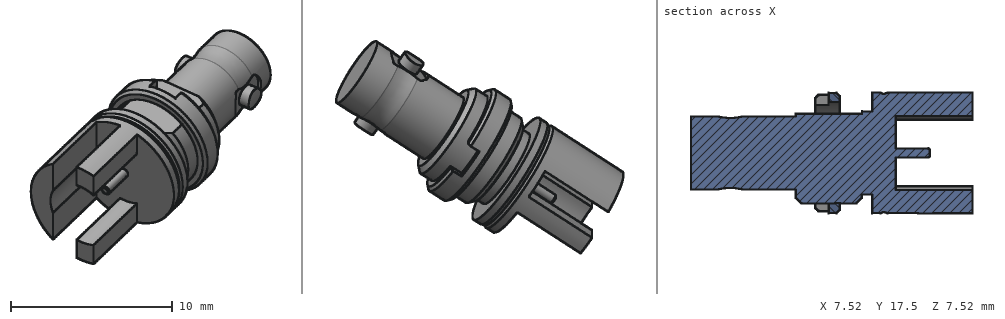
import cadquery as cq

LENGTH = 17.5

FLANGE_R = 7.52 / 2
FLANGE_BACK = 4.76
FLANGE_FRONT = 6.25
V_GROOVE_Y = 5.51
V_GROOVE_HALF_WIDTH = 0.21
V_GROOVE_DEPTH = 0.09
LEG_BORE_R = 4.55 / 2
LOWER_LEG_FACE_X = -2.08
UPPER_LEG_MIN_X = -0.3
UPPER_LEG_MAX_X = 0.98

CONTACT_R = 0.6 / 2
CONTACT_TIP_R = 0.44 / 2
CONTACT_LENGTH = 2.1

NECK_R = 5.2 / 2
THREAD_R = 6.28 / 2
THREAD_BACK = 6.88
THREAD_FRONT = 10.99
THREAD_CHAMFER = 0.35
THREAD_FLAT_Z = 2.45

BARREL_R = 4.55 / 2
STUD_Y = 15.05
STUD_R = 1.4 / 2
STUD_TIP_R = 5.56 / 2
STUD_SEAT_R = 2.8 / 2
STUD_SEAT_X = 2.05
WAIST_HALF_WIDTH = 0.74
WAIST_DEPTH = 0.09

NUT_R = 7.5 / 2
NUT_BACK = 8.25
NUT_FRONT = 9.78
NUT_CHAMFER = 0.21
NUT_SLOT_WIDTH = 1.96
NUT_SLOT_DEPTH = 0.84


def cylinder_y(radius, start, end):
    """Cylinder on the connector axis between two Y positions."""
    return cq.Workplane("XZ", origin=(0, start, 0)).circle(radius).extrude(start - end)


def box_between(low, high):
    """Axis-aligned box given by two opposite corners."""
    size = [b - a for a, b in zip(low, high)]
    return cq.Workplane("XY").box(*size, centered=False).translate(low)


def make_turned_core():
    """Everything from the flange to the mating end, turned about the axis."""
    return (
        cq.Workplane("XY")
        .moveTo(0, FLANGE_BACK)
        .lineTo(FLANGE_R, FLANGE_BACK)
        .lineTo(FLANGE_R, V_GROOVE_Y - V_GROOVE_HALF_WIDTH)
        .lineTo(FLANGE_R - V_GROOVE_DEPTH, V_GROOVE_Y)
        .lineTo(FLANGE_R, V_GROOVE_Y + V_GROOVE_HALF_WIDTH)
        .lineTo(FLANGE_R, FLANGE_FRONT)
        .lineTo(NECK_R, FLANGE_FRONT)
        .lineTo(NECK_R, THREAD_BACK)
        .lineTo(THREAD_R - THREAD_CHAMFER, THREAD_BACK)
        .lineTo(THREAD_R, THREAD_BACK + THREAD_CHAMFER)
        .lineTo(THREAD_R, THREAD_FRONT - THREAD_CHAMFER)
        .lineTo(THREAD_R - THREAD_CHAMFER, THREAD_FRONT)
        .lineTo(BARREL_R, THREAD_FRONT)
        .lineTo(BARREL_R, STUD_Y - WAIST_HALF_WIDTH)
        .threePointArc((BARREL_R - WAIST_DEPTH, STUD_Y), (BARREL_R, STUD_Y + WAIST_HALF_WIDTH))
        .lineTo(BARREL_R, LENGTH)
        .lineTo(0, LENGTH)
        .close()
        .revolve(360, (0, 0, 0), (0, 1, 0))
    )


def make_thread_flat_cutter():
    """Removes the top of the threaded section above its flat."""
    return box_between(
        (-THREAD_R, THREAD_BACK, THREAD_FLAT_Z), (THREAD_R, THREAD_FRONT, THREAD_R)
    )


def make_legs():
    """One wide lower leg and two narrow upper legs around a central bore."""
    tube = cylinder_y(FLANGE_R, 0, FLANGE_BACK).cut(cylinder_y(LEG_BORE_R, 0, FLANGE_BACK))
    lower = box_between((-FLANGE_R, 0, -FLANGE_R), (LOWER_LEG_FACE_X, FLANGE_BACK, FLANGE_R))
    upper = box_between((UPPER_LEG_MIN_X, 0, -FLANGE_R), (UPPER_LEG_MAX_X, FLANGE_BACK, FLANGE_R))
    return tube.intersect(lower.union(upper))


def make_contact():
    """Centre contact with a chamfered tip, standing out of the flange."""
    contact = cylinder_y(CONTACT_R, FLANGE_BACK - CONTACT_LENGTH, FLANGE_BACK)
    return contact.faces("<Y").chamfer(CONTACT_R - CONTACT_TIP_R)


def cylinder_x(radius, start, end):
    """Cylinder along X at the stud position."""
    return cq.Workplane("YZ", origin=(start, STUD_Y, 0)).circle(radius).extrude(end - start)


def make_stud_seats():
    """Round spot faces cut into both sides of the barrel."""
    right = cylinder_x(STUD_SEAT_R, STUD_SEAT_X, STUD_TIP_R)
    return right.union(right.mirror("YZ"))


def make_studs():
    """Bayonet studs whose ends follow a cylinder about the connector axis."""
    envelope = cylinder_y(STUD_TIP_R, STUD_Y - STUD_R, STUD_Y + STUD_R)
    return cylinder_x(STUD_R, -STUD_TIP_R, STUD_TIP_R).intersect(envelope)


def make_housing():
    """Connector housing with legs, contact and bayonet studs."""
    core = make_turned_core().cut(make_thread_flat_cutter()).cut(make_stud_seats())
    return core.union(make_studs()).union(make_legs()).union(make_contact())


def make_ring_nut():
    """Chamfered ring on the thread with two opposite spanner slots."""
    ring = cylinder_y(NUT_R, NUT_BACK, NUT_FRONT).faces("<Y or >Y").chamfer(NUT_CHAMFER)
    slots = box_between(
        (-NUT_SLOT_WIDTH / 2, NUT_FRONT - NUT_SLOT_DEPTH, -NUT_R),
        (NUT_SLOT_WIDTH / 2, NUT_FRONT, NUT_R),
    )
    return ring.cut(cylinder_y(THREAD_R, NUT_BACK, NUT_FRONT)).cut(slots)


housing = make_housing()
ring_nut = make_ring_nut()
result = cq.Compound.makeCompound([housing.val(), ring_nut.val()])